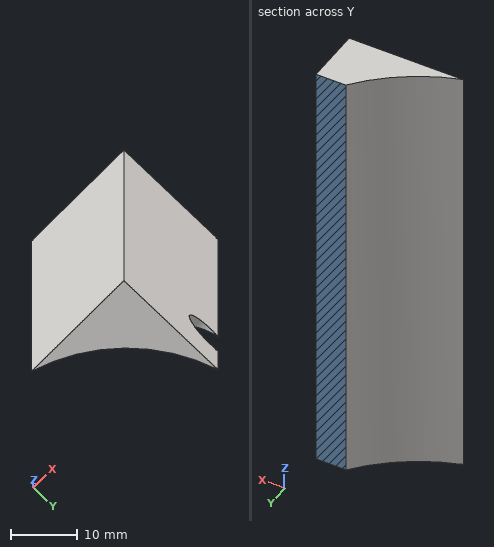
import cadquery as cq
import math

length = 75.0
leg = 20.0
cove_radius = 30.0
hole_radius = 4.35
hole_edge_offset = 1.8
hole_height = 15.0

half_chord = leg / math.sqrt(2)
sagitta = cove_radius - math.sqrt(cove_radius**2 - half_chord**2)
arc_shift = sagitta / math.sqrt(2)
arc_middle = (leg / 2 + arc_shift, leg / 2 - arc_shift)


def cove_strip():
    """Strip with two square flat faces and one concave face."""
    return (
        cq.Workplane("XY")
        .lineTo(leg, 0)
        .lineTo(leg, leg)
        .threePointArc(arc_middle, (0, 0))
        .close()
        .extrude(length)
    )


def cross_hole():
    """Round cutter along X that breaks out through the +Y tip."""
    return (
        cq.Workplane("YZ")
        .center(leg - hole_edge_offset, hole_height)
        .circle(hole_radius)
        .extrude(leg)
    )


result = cove_strip().cut(cross_hole())